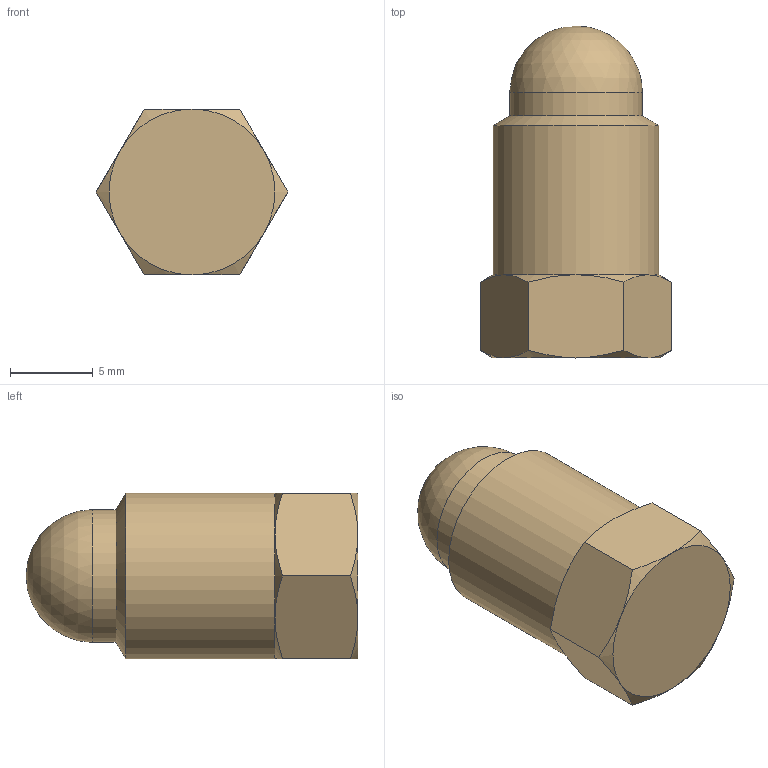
import cadquery as cq
import math

HEAD_SIDES = 6
HEAD_ACROSS_FLATS = 10.0
HEAD_LENGTH = 5.0
BODY_DIAMETER = 10.0
BODY_LENGTH = 9.0
TIP_DIAMETER = 8.0
TOTAL_LENGTH = 20.0
CHAMFER_ANGLE = 30.0

CHAMFER_SLOPE = math.tan(math.radians(CHAMFER_ANGLE))
HEAD_ACROSS_CORNERS = HEAD_ACROSS_FLATS / math.cos(math.pi / HEAD_SIDES)
BODY_RADIUS = BODY_DIAMETER / 2
TIP_RADIUS = TIP_DIAMETER / 2
BODY_END = HEAD_LENGTH + BODY_LENGTH
SHOULDER_END = BODY_END + (BODY_RADIUS - TIP_RADIUS) * CHAMFER_SLOPE
DOME_START = TOTAL_LENGTH - TIP_RADIUS


def revolve_about_y(half_profile):
    """Turn a closed half profile in the XY plane about the Y axis."""
    return half_profile.close().revolve(360, (0, 0, 0), (0, 1, 0))


def make_head():
    """Hexagon with flats facing +/-Z and corners coned off at both ends."""
    hexagon = (
        cq.Workplane("XZ")
        .polygon(HEAD_SIDES, HEAD_ACROSS_CORNERS)
        .extrude(-HEAD_LENGTH)
    )
    face_radius = HEAD_ACROSS_FLATS / 2
    cone_radius = HEAD_ACROSS_CORNERS / 2
    cone_depth = (cone_radius - face_radius) * CHAMFER_SLOPE
    corner_envelope = revolve_about_y(
        cq.Workplane("XY")
        .lineTo(face_radius, 0)
        .lineTo(cone_radius, cone_depth)
        .lineTo(cone_radius, HEAD_LENGTH - cone_depth)
        .lineTo(face_radius, HEAD_LENGTH)
        .lineTo(0, HEAD_LENGTH)
    )
    return hexagon.intersect(corner_envelope)


def make_shank():
    """Round body, conical shoulder and narrower tip ending in a hemisphere."""
    dome_mid = TIP_RADIUS * math.sqrt(0.5)
    return revolve_about_y(
        cq.Workplane("XY")
        .moveTo(0, HEAD_LENGTH)
        .lineTo(BODY_RADIUS, HEAD_LENGTH)
        .lineTo(BODY_RADIUS, BODY_END)
        .lineTo(TIP_RADIUS, SHOULDER_END)
        .lineTo(TIP_RADIUS, DOME_START)
        .threePointArc((dome_mid, DOME_START + dome_mid), (0, TOTAL_LENGTH))
    )


result = make_head().union(make_shank())